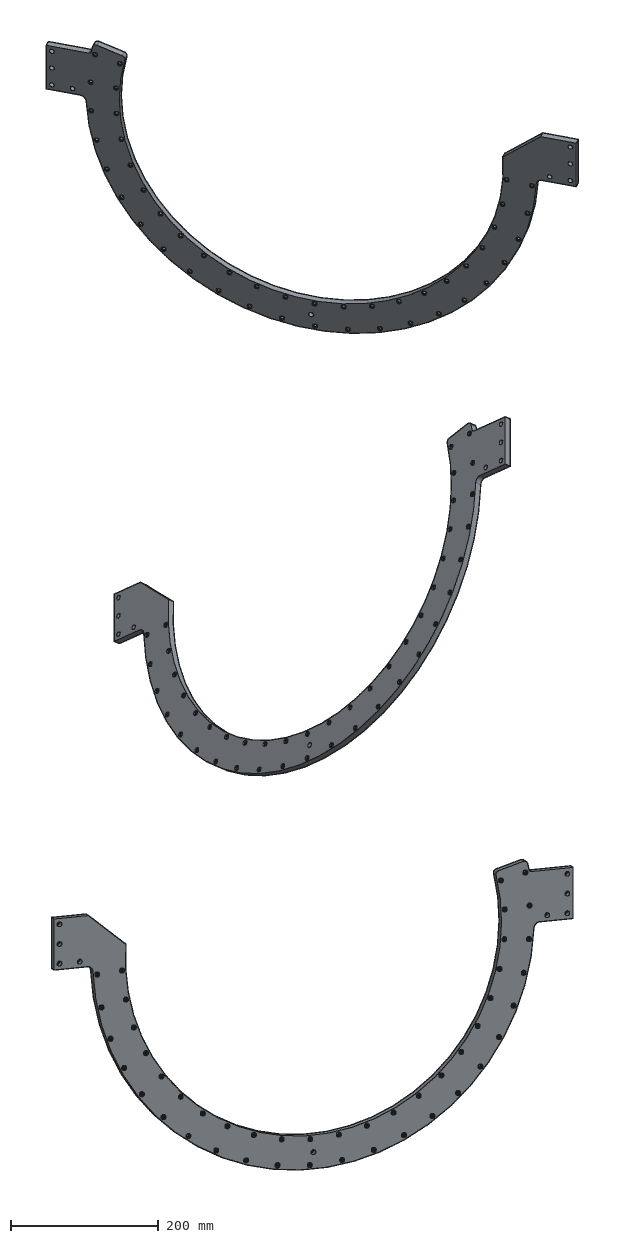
import cadquery as cq
import math

length = 754.0
thickness = 10.0

outer_radius = 320.5
inner_radius = 273.0
tab_rise = 14.9
tab_corner_radius = 5.0

ear_top = 65.5
ear_bottom = -6.0
ear_corner_radius = 8.0
tab_notch_radius = 4.0
ear_overlap = 290.0
slope_top_x = 326.5
slope_bottom_z = 20.0

ear_hole_diameter = 6.5
ear_hole_inset = 8.0
ear_hole_spacing = 29.5
band_hole_diameter = 4.5
band_counterbore_diameter = 7.0
band_counterbore_depth = 2.0
outer_hole_radius = 314.5
inner_hole_radius = 278.0
holes_per_turn = 42
hole_step = 360 / holes_per_turn
first_hole_angle = -101.9
holes_per_row = 23
centre_hole_diameter = 7.0

half_length = length / 2


def polar(radius, angle):
    """Point at an angle in degrees from straight down, positive towards +X."""
    a = math.radians(angle)
    return (radius * math.sin(a), -radius * math.cos(a))


def prism(sketch):
    """Extrude an XZ outline through the thickness, centred on Y = 0."""
    return sketch.extrude(thickness / 2, both=True)


def thickness_edges_near(body, x, z, reach=1.5):
    """Edges along Y that pass near the point (x, z)."""
    box = (x - reach, -thickness, z - reach), (x + reach, thickness, z + reach)
    return body.edges("|Y").edges(cq.selectors.BoxSelector(*box))


def make_band():
    """Arc from the tab end on the -X side, under the centre, to the +X side."""
    start = -90 - tab_rise
    end = 90 + math.degrees(math.asin(slope_bottom_z / inner_radius))
    band = prism(
        cq.Workplane("XZ")
        .moveTo(*polar(outer_radius, start))
        .threePointArc(polar(outer_radius, 0), polar(outer_radius, end))
        .lineTo(*polar(inner_radius, end))
        .threePointArc(polar(inner_radius, 0), polar(inner_radius, start))
        .close()
    )
    for radius in (outer_radius, inner_radius):
        x, z = polar(radius, start)
        band = thickness_edges_near(band, x, z).fillet(tab_corner_radius)
    return band


def make_left_ear():
    return prism(
        cq.Workplane("XZ").polyline(
            [
                (-half_length, ear_bottom),
                (-half_length, ear_top),
                (-ear_overlap, ear_top),
                (-ear_overlap, ear_bottom),
            ]
        ).close()
    )


def make_right_ear():
    slope_bottom_x = math.sqrt(inner_radius**2 - slope_bottom_z**2)
    bore_x = math.sqrt(inner_radius**2 - ear_bottom**2)
    return prism(
        cq.Workplane("XZ")
        .moveTo(half_length, ear_bottom)
        .lineTo(half_length, ear_top)
        .lineTo(slope_top_x, ear_top)
        .lineTo(slope_bottom_x, slope_bottom_z)
        .threePointArc((inner_radius, 0), (bore_x, ear_bottom))
        .close()
    )


def make_plate():
    plate = make_band().union(make_left_ear()).union(make_right_ear())
    corner_x = math.sqrt(outer_radius**2 - ear_bottom**2)
    for x in (-corner_x, corner_x):
        plate = thickness_edges_near(plate, x, ear_bottom).fillet(ear_corner_radius)
    notch_x = -math.sqrt(outer_radius**2 - ear_top**2)
    return thickness_edges_near(plate, notch_x, ear_top).fillet(tab_notch_radius)


def drill(plate, points, diameter):
    """Cut through holes at the given (x, z) points."""
    return plate.cut(prism(cq.Workplane("XZ").pushPoints(points).circle(diameter / 2)))


def counterbore(plate, points):
    """Widen the mouths of the band holes on both faces."""
    floor = cq.Workplane("XZ").workplane(offset=thickness / 2 - band_counterbore_depth)
    mouths = floor.pushPoints(points).circle(band_counterbore_diameter / 2)
    front_bores = mouths.extrude(band_counterbore_depth)
    return plate.cut(front_bores).cut(front_bores.mirror("XZ"))


def ear_hole_points():
    """Three holes along each end and one beside the lowest, mirrored left to right."""
    end_x = half_length - ear_hole_inset
    low_z = ear_bottom + ear_hole_inset
    high_z = ear_top - ear_hole_inset
    one_side = [(end_x, z) for z in (low_z, (low_z + high_z) / 2, high_z)]
    one_side.append((end_x - ear_hole_spacing, low_z))
    return [(side * x, z) for side in (-1, 1) for x, z in one_side]


def row_points(radius):
    return [polar(radius, first_hole_angle + i * hole_step) for i in range(holes_per_row)]


plate = make_plate()
plate = drill(plate, ear_hole_points(), ear_hole_diameter)
for row_radius in (outer_hole_radius, inner_hole_radius):
    plate = drill(plate, row_points(row_radius), band_hole_diameter)
    plate = counterbore(plate, row_points(row_radius))
result = drill(plate, [polar((outer_radius + inner_radius) / 2, 0)], centre_hole_diameter)